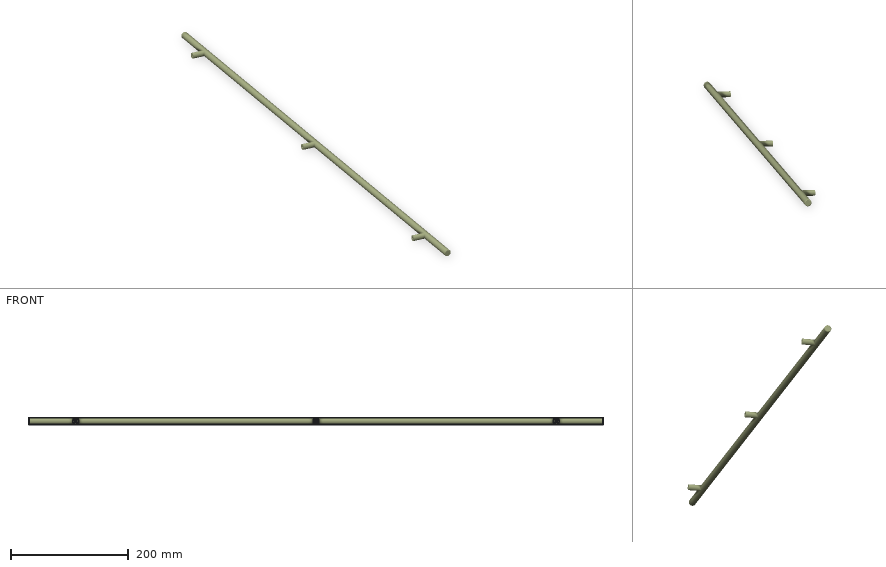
import cadquery as cq

RAIL_LENGTH = 976.0
RAIL_DIAMETER = 12.0
RAIL_END_CHAMFER = 1.0
HANDLE_DEPTH = 32.0
POST_DIAMETER = 10.0
POST_END_INSET = 80.0

SCREW_HOLE_DIAMETER = 4.0
SCREW_HOLE_DEPTH = 6.0
CORE_HOLE_DIAMETER = 3.3
CORE_HOLE_DEPTH = 9.0

POST_REACH = HANDLE_DEPTH - RAIL_DIAMETER / 2
POST_SPACING = RAIL_LENGTH / 2 - POST_END_INSET


def make_rail():
    """Round rail centred on the origin, chamfered at both ends."""
    rail = cq.Workplane("YZ").circle(RAIL_DIAMETER / 2).extrude(RAIL_LENGTH / 2, both=True)
    return rail.faces("<X or >X").chamfer(RAIL_END_CHAMFER)


def make_post(x):
    """Round post from the rail axis out to its foot at -Y, with its screw hole."""
    post = cq.Workplane("XZ").center(x, 0).circle(POST_DIAMETER / 2).extrude(POST_REACH)
    foot = post.faces("<Y").workplane()
    post = foot.hole(SCREW_HOLE_DIAMETER, SCREW_HOLE_DEPTH)
    core = (
        cq.Workplane("XZ", origin=(x, -POST_REACH, 0))
        .circle(CORE_HOLE_DIAMETER / 2)
        .extrude(-CORE_HOLE_DEPTH)
    )
    return post.cut(core)


result = make_rail()
for post_x in (-POST_SPACING, 0, POST_SPACING):
    result = result.union(make_post(post_x))